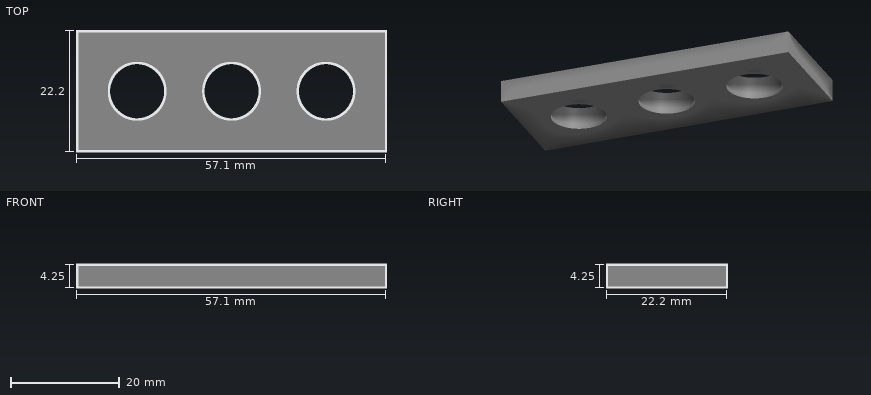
import cadquery as cq

plate_length = 57.15
plate_width = 22.225
plate_thickness = 4.25

hole_diameter = 10.41
hole_count = 3
hole_pitch = 17.4625


def make_plate():
    """Plain rectangular plate."""
    return cq.Workplane("XY").box(
        plate_length, plate_width, plate_thickness, centered=(True, True, False)
    )


def cut_hole_row(plate):
    """Cut the evenly spaced holes, centred on the plate, right through it."""
    return (
        plate.faces(">Z")
        .workplane(origin=(0, 0, plate_thickness))
        .rarray(hole_pitch, plate_width, hole_count, 1)
        .hole(hole_diameter)
    )


result = cut_hole_row(make_plate())